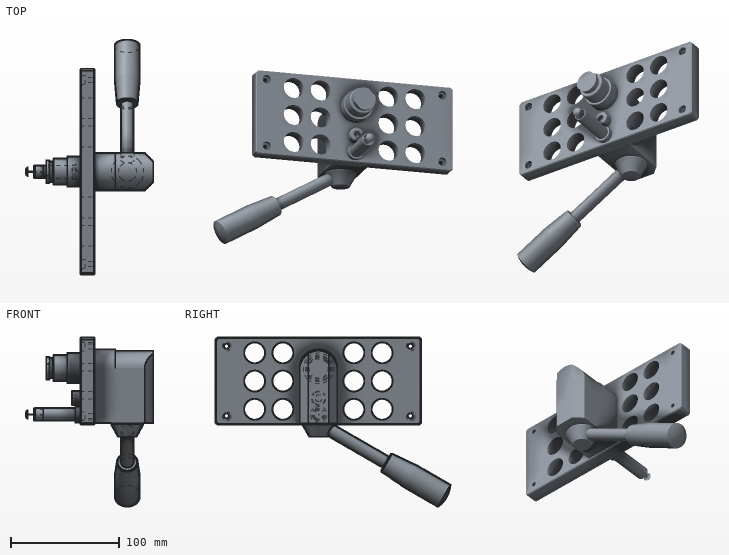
import cadquery as cq
import math


plate_thickness = 13.5
plate_width = 190.0
plate_height = 80.5
plate_corner_chamfer = 2.0
plate_face_chamfer = 0.9

grid_hole_diameter = 19.0
grid_pitch = 26.0
grid_inner_offset = 32.8
screw_offset_y = 84.8
screw_offset_z = 32.0
screw_hole_diameter = 4.5
screw_head_diameter = 8.0
screw_head_depth = 4.3

housing_end = 67.5
housing_step = 32.5
housing_width = 34.7
housing_axis_z = 12.1
housing_bottom = -38.8
housing_low_top = 28.0
housing_end_chamfer = 8.0

knob_z = 12.0
knob_collar_radius = 14.0
knob_collar_length = 12.0
knob_body_diameter = 24.5
knob_body_end = 25.0
knob_body_chamfer = 0.7
knob_neck_radius = 9.0
knob_ridge_radius = 9.5
knob_ridge_start = 25.8
knob_ridge_end = 28.0
knob_rim_radius = 10.6
knob_rim_start = 28.6
knob_end = 31.5
knob_flat_distance = 9.8
knob_flat_angle = 45

bolt_z = -15.6
bolt_diameter = 13.0
bolt_height = 8.0
bolt_chamfer = 0.7
socket_across_flats = 6.0
socket_depth = 4.0

pin_z = -30.8
pin_diameter = 12.0
pin_length = 42.7
pin_chamfer_length = 1.3
pin_chamfer_depth = 0.5
pin_collar_diameter = 15.0
pin_collar_height = 4.8
pin_bore_diameter = 10.0
pin_bore_depth = 8.7
tip_diameter = 8.0
tip_base = 48.5
tip_end = 50.3
tip_flat_diameter = 1.7
tip_dome_bulge = 0.5
tip_stem_diameter = 0.7

lever_x = 43.4
boss_diameter = 30.0
boss_bottom_diameter = 17.0
boss_rim_height = 1.0
boss_height = 12.5
lever_tilt = 30
rod_diameter = 11.7
grip_start = 72.0
grip_start_radius = 9.8
grip_edge_chamfer = 0.9
grip_straight_start = 98.3
grip_radius = 11.7
grip_end = 134.0
grip_dome_height = 2.5


def forward_cylinder(z, diameter, length):
    """Cylinder standing on the plate's front face and pointing to -X."""
    return cq.Workplane("YZ", origin=(0, 0, z)).circle(diameter / 2).extrude(-length)


def revolve_forward(profile, z):
    """Revolve an outline, drawn as (radius, height), about an axis pointing to -X."""
    return profile.close().revolve(360, (0, 0, 0), (0, 1, 0)).rotate(
        (0, 0, 0), (0, 0, 1), 90
    ).translate((0, 0, z))


def make_plate():
    plate = cq.Workplane("XY").box(plate_thickness, plate_width, plate_height)
    plate = plate.translate((plate_thickness / 2, 0, 0))
    plate = plate.edges("|X").chamfer(plate_corner_chamfer)
    plate = plate.faces("<X or >X").chamfer(plate_face_chamfer)

    grid_points = []
    for side in (-1, 1):
        for column in range(2):
            for row in (-1, 0, 1):
                y = side * (grid_inner_offset + column * grid_pitch)
                grid_points.append((y, row * grid_pitch))
    front = cq.Workplane("YZ")
    plate = plate.cut(front.pushPoints(grid_points).circle(grid_hole_diameter / 2).extrude(plate_thickness))

    screws = front.rect(2 * screw_offset_y, 2 * screw_offset_z, forConstruction=True).vertices()
    plate = plate.cut(screws.circle(screw_hole_diameter / 2).extrude(plate_thickness))
    return plate.cut(screws.circle(screw_head_diameter / 2).extrude(screw_head_depth))


def housing_section(start, end, top):
    """Round-topped block between two X positions."""
    half_width = housing_width / 2
    return (
        cq.Workplane("YZ", origin=(start, 0, 0))
        .moveTo(-half_width, housing_bottom)
        .lineTo(half_width, housing_bottom)
        .lineTo(half_width, housing_axis_z)
        .threePointArc((0, top), (-half_width, housing_axis_z))
        .close()
        .extrude(end - start)
    )


def make_housing():
    full_top = housing_axis_z + housing_width / 2
    housing = housing_section(plate_thickness, housing_step, full_top)
    housing = housing.union(housing_section(housing_step, housing_end, housing_low_top))
    half_width = housing_width / 2
    plan = (
        cq.Workplane("XY", origin=(0, 0, housing_bottom))
        .moveTo(plate_thickness, -half_width)
        .lineTo(housing_end - housing_end_chamfer, -half_width)
        .lineTo(housing_end, housing_end_chamfer - half_width)
        .lineTo(housing_end, half_width - housing_end_chamfer)
        .lineTo(housing_end - housing_end_chamfer, half_width)
        .lineTo(plate_thickness, half_width)
        .close()
        .extrude(full_top - housing_bottom)
    )
    return housing.intersect(plan)


def make_knob():
    knob_body_radius = knob_body_diameter / 2
    profile = cq.Workplane("XY").polyline([
        (0, 0),
        (knob_collar_radius, 0),
        (knob_collar_radius, knob_collar_length),
        (knob_body_radius, knob_collar_length),
        (knob_body_radius, knob_body_end - knob_body_chamfer),
        (knob_body_radius - knob_body_chamfer, knob_body_end),
        (knob_neck_radius, knob_body_end),
        (knob_neck_radius, knob_ridge_start),
        (knob_ridge_radius, knob_ridge_start),
        (knob_ridge_radius, knob_ridge_end),
        (knob_rim_radius, knob_rim_start),
        (knob_rim_radius, knob_end),
        (0, knob_end),
    ])
    knob = revolve_forward(profile, knob_z)
    rim_length = knob_end - knob_ridge_end
    flat_depth = knob_rim_radius - knob_flat_distance
    for side in (-1, 1):
        cutter = cq.Workplane("XY").box(rim_length, flat_depth, 2 * knob_rim_radius)
        cutter = cutter.translate((
            -knob_end + rim_length / 2,
            side * (knob_flat_distance + flat_depth / 2),
            0,
        ))
        cutter = cutter.rotate((0, 0, 0), (1, 0, 0), -knob_flat_angle)
        knob = knob.cut(cutter.translate((0, 0, knob_z)))
    return knob


def make_bolt():
    bolt = forward_cylinder(bolt_z, bolt_diameter, bolt_height)
    bolt = bolt.faces("<X").chamfer(bolt_chamfer)
    across_corners = socket_across_flats / math.cos(math.radians(30))
    socket = (
        cq.Workplane("YZ", origin=(-bolt_height, 0, bolt_z))
        .polygon(6, across_corners)
        .extrude(socket_depth)
    )
    cone_height = socket_across_flats / 2 * math.tan(math.radians(30))
    cone = cq.Solid.makeCone(
        socket_across_flats / 2,
        0,
        cone_height,
        cq.Vector(socket_depth - bolt_height, 0, bolt_z),
        cq.Vector(1, 0, 0),
    )
    return bolt.cut(socket).cut(cq.Workplane(cone))


def make_pin():
    pin_radius = pin_diameter / 2
    bore_radius = pin_bore_diameter / 2
    stem_radius = tip_stem_diameter / 2
    bore_bottom = pin_length - pin_bore_depth
    profile = cq.Workplane("XY").polyline([
        (0, 0),
        (pin_collar_diameter / 2, 0),
        (pin_collar_diameter / 2, pin_collar_height),
        (pin_radius, pin_collar_height),
        (pin_radius, pin_length - pin_chamfer_length),
        (pin_radius - pin_chamfer_depth, pin_length),
        (bore_radius, pin_length),
        (bore_radius, bore_bottom),
        (stem_radius, bore_bottom),
        (stem_radius, tip_base),
        (tip_diameter / 2, tip_base),
    ])
    profile = profile.sagittaArc((tip_flat_diameter / 2, tip_end), -tip_dome_bulge).lineTo(0, tip_end)
    return revolve_forward(profile, pin_z)


def make_boss():
    rim = (
        cq.Workplane("XY", origin=(lever_x, 0, housing_bottom))
        .circle(boss_diameter / 2)
        .extrude(-boss_rim_height)
    )
    cone = cq.Solid.makeCone(
        boss_diameter / 2,
        boss_bottom_diameter / 2,
        boss_height - boss_rim_height,
        cq.Vector(lever_x, 0, housing_bottom - boss_rim_height),
        cq.Vector(0, 0, -1),
    )
    return rim.union(cq.Workplane(cone))


def make_lever():
    sphere_radius = (grip_radius**2 + grip_dome_height**2) / (2 * grip_dome_height)
    mid_angle = math.asin(grip_radius / sphere_radius) / 2
    grip_tip = grip_end + grip_dome_height
    dome_middle = (
        sphere_radius * math.sin(mid_angle),
        grip_tip - sphere_radius * (1 - math.cos(mid_angle)),
    )
    lever = (
        cq.Workplane("XY")
        .lineTo(rod_diameter / 2, 0)
        .lineTo(rod_diameter / 2, grip_start)
        .lineTo(grip_start_radius - grip_edge_chamfer, grip_start)
        .lineTo(grip_start_radius, grip_start + grip_edge_chamfer)
        .lineTo(grip_radius, grip_straight_start)
        .lineTo(grip_radius, grip_end)
        .threePointArc(dome_middle, (0, grip_tip))
        .close()
        .revolve(360, (0, 0, 0), (0, 1, 0))
    )
    lever = lever.rotate((0, 0, 0), (1, 0, 0), -lever_tilt)
    return lever.translate((lever_x, 0, housing_bottom))


result = make_plate()
for component in (make_housing(), make_knob(), make_bolt(), make_pin(), make_boss(), make_lever()):
    result = result.union(component)